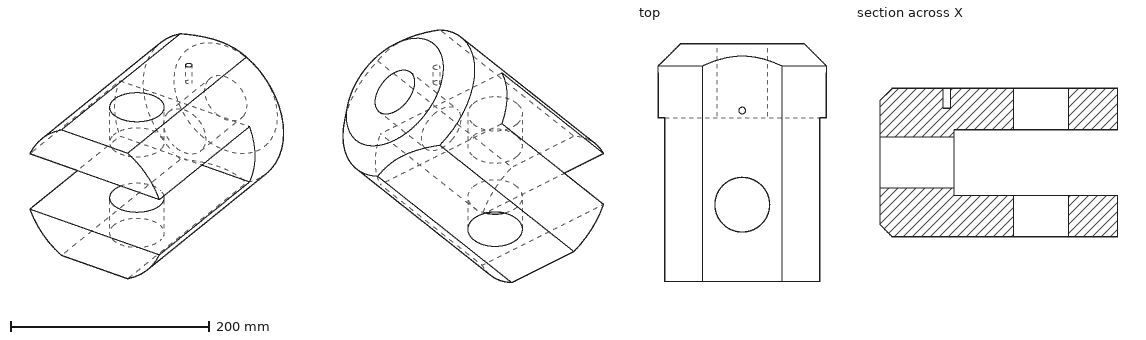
import cadquery as cq

body_diameter = 170.0
body_length = 240.0
height_over_flats = 150.0
rear_chamfer = 22.5

slot_width = 66.0
slot_depth = 165.0

bore_diameter = 51.0
pin_hole_diameter = 55.0
pin_hole_y = 77.5
screw_hole_diameter = 6.8
screw_hole_y = 172.5
screw_hole_depth = 20.0


def y_cylinder(diameter, length):
    """Cylinder on the Y axis running from Y = 0 to Y = length."""
    return cq.Workplane("XZ").circle(diameter / 2).extrude(-length)


def z_cylinder(diameter, y, bottom, top):
    """Vertical cylinder at X = 0 and the given Y, between two heights."""
    return (
        cq.Workplane("XY", origin=(0, y, bottom))
        .circle(diameter / 2)
        .extrude(top - bottom)
    )


def flatted_body():
    """Chamfered round bar with parallel flats on top and bottom."""
    bar = y_cylinder(body_diameter, body_length).faces(">Y").chamfer(rear_chamfer)
    flat_limits = cq.Workplane("XY").box(
        body_diameter, body_length, height_over_flats, centered=(True, False, True)
    )
    return bar.intersect(flat_limits)


def fork_slot():
    """Slot across the full width, leaving two fork arms."""
    return cq.Workplane("XY").box(
        body_diameter, slot_depth, slot_width, centered=(True, False, True)
    )


half_height = height_over_flats / 2

rod_bore = y_cylinder(bore_diameter, body_length)
pin_hole = z_cylinder(pin_hole_diameter, pin_hole_y, -half_height, half_height)
screw_hole = z_cylinder(
    screw_hole_diameter, screw_hole_y, half_height - screw_hole_depth, half_height
)

result = flatted_body().cut(fork_slot()).cut(rod_bore).cut(pin_hole).cut(screw_hole)